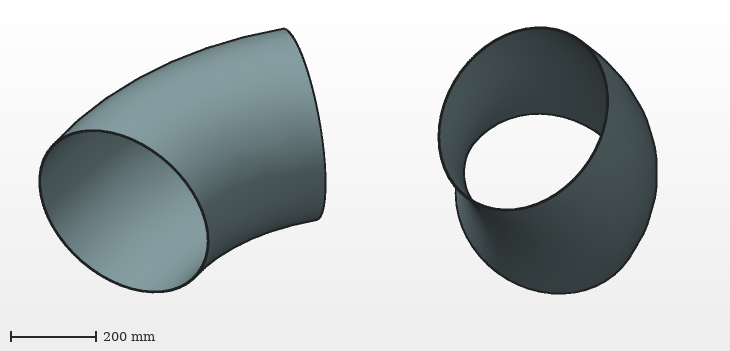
import cadquery as cq
import math

overall_length = 647.0
bend_angle = 45.0
wall = 3.0
bend_ratio = 1.5

outer_diameter = overall_length / ((bend_ratio + 0.5) * math.sin(math.radians(bend_angle)))
outer_radius = outer_diameter / 2
inner_radius = outer_radius - wall
bend_radius = bend_ratio * outer_diameter

pipe_section = cq.Workplane("XZ").circle(outer_radius).circle(inner_radius)

result = pipe_section.revolve(
    bend_angle,
    axisStart=(bend_radius, 0),
    axisEnd=(bend_radius, -1),
)